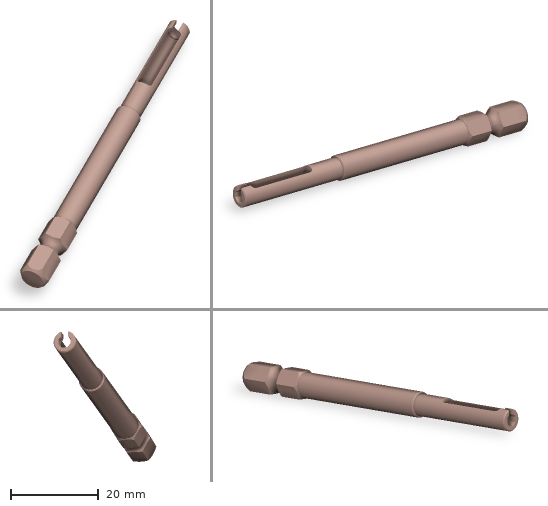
import cadquery as cq
import math

total_length = 80.0
hex_length = 17.0
sleeve_end = 52.3

hex_sides = 6
hex_across_flats = 6.35
hex_corner_radius = hex_across_flats / 2 / math.cos(math.pi / hex_sides)
end_face_radius = 2.8
end_cone_length = 1.3
shoulder_radius = 3.1
shoulder_cone_length = 0.7

groove_center = 9.3
groove_half_width = 1.75
neck_radius = 2.4

sleeve_radius = 3.0
tip_radius = 2.6
tip_chamfer = 0.25
sleeve_chamfer = 0.2

trough_radius = 1.78
trough_start = total_length - 19.8
trough_end = total_length - 2.75
bore_end = total_length - 2.45
trough_corner_radius = 0.8
slot_width = 1.7

socket_sides = 8
socket_across_flats = 2.85
socket_depth = 1.65
passage_radius = socket_across_flats / 2


def make_shank():
    """Hexagon with coned ends and a round-bottomed locking groove."""
    hexagon = (
        cq.Workplane("XZ")
        .polygon(hex_sides, 2 * hex_corner_radius)
        .extrude(-hex_length)
    )
    envelope = (
        cq.Workplane("XY")
        .moveTo(0, 0)
        .lineTo(end_face_radius, 0)
        .lineTo(hex_corner_radius, end_cone_length)
        .lineTo(hex_corner_radius, groove_center - groove_half_width)
        .threePointArc(
            (neck_radius, groove_center),
            (hex_corner_radius, groove_center + groove_half_width),
        )
        .lineTo(hex_corner_radius, hex_length - shoulder_cone_length)
        .lineTo(shoulder_radius, hex_length)
        .lineTo(0, hex_length)
        .close()
        .revolve(360, (0, 0, 0), (0, 1, 0))
    )
    return hexagon.intersect(envelope)


def make_rod(radius, start, end, end_chamfer=0.0):
    """Round bar along Y between two stations, optionally chamfered at its far end."""
    rod = cq.Workplane("XZ", origin=(0, start, 0)).circle(radius).extrude(start - end)
    if end_chamfer > 0:
        rod = rod.faces(">Y").edges().chamfer(end_chamfer)
    return rod


def make_trough():
    """Round bore with a round-cornered opening above it through the top of the stem."""
    length = trough_end - trough_start
    middle = (trough_start + trough_end) / 2
    opening = (
        cq.Workplane("XY")
        .center(0, middle)
        .rect(2 * trough_radius, length)
        .extrude(tip_radius)
        .edges("|Z")
        .fillet(trough_corner_radius)
    )
    return opening.union(make_rod(trough_radius, trough_start, bore_end))


def make_slot():
    """Narrow channel from the trough to the tip face, opening the socket upward."""
    slot_length = total_length - trough_end + trough_corner_radius
    return (
        cq.Workplane("XY", origin=(0, total_length - slot_length / 2, 0))
        .rect(slot_width, slot_length)
        .extrude(tip_radius)
    )


def make_socket():
    """Octagonal socket at the tip face, then a round passage into the trough."""
    socket_start = total_length - socket_depth
    octagon = (
        cq.Workplane("XZ", origin=(0, socket_start, 0))
        .polygon(socket_sides, socket_across_flats, circumscribed=True)
        .extrude(-socket_depth)
    )
    return octagon.union(make_rod(passage_radius, bore_end, socket_start))


result = (
    make_shank()
    .union(make_rod(sleeve_radius, hex_length, sleeve_end, sleeve_chamfer))
    .union(make_rod(tip_radius, sleeve_end, total_length, tip_chamfer))
    .cut(make_trough())
    .cut(make_slot())
    .cut(make_socket())
)